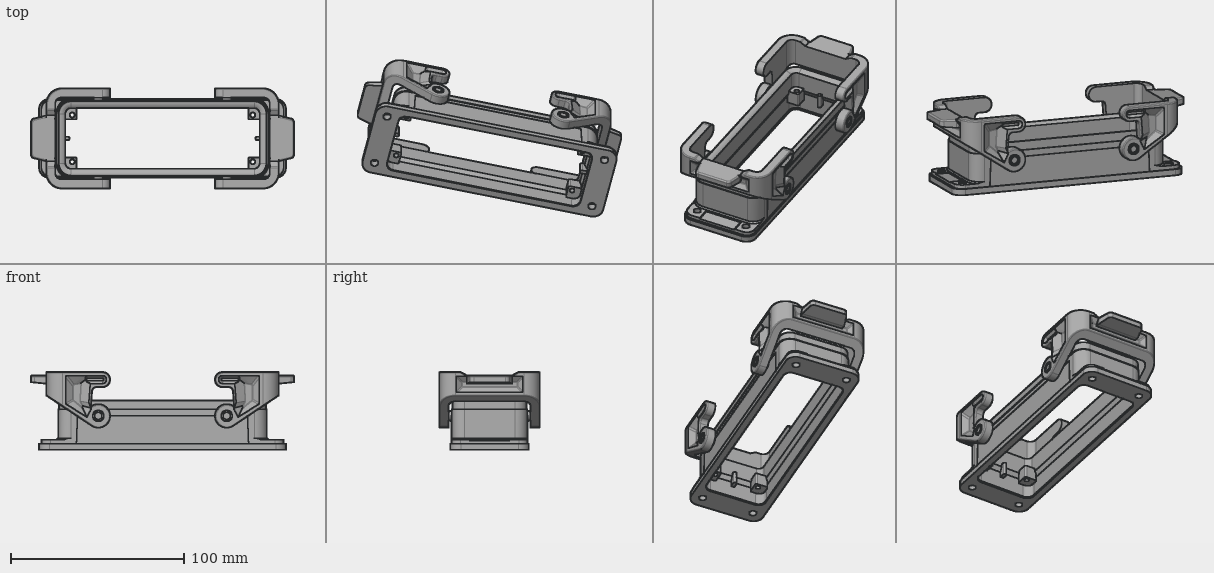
import cadquery as cq
import math

flange_length = 142.7
flange_width = 45.6
flange_height = 3.6
flange_corner = 6.1
pad_length = 139.8
pad_top = 6.0
pad_corner = 5.0
mount_hole_diameter = 4.3
mount_hole_x = 64.5
mount_hole_y = 16.0
recess_width = 22.8
recess_depth = 0.6
recess_gap = 1.5

body_length = 120.7
body_width = 43.8
body_corner = 7.3
base_bevel = 0.9
shoulder_height = 23.4
shoulder_step = 0.5
rim_height = 28.5
crown_width = 3.6
crown_drop = 1.5

panel_proud = 0.2
panel_bottom_length = 99.4
panel_top_length = 98.2
panel_depth = 1.5

opening_length = 112.2
opening_width = 35.0
opening_corner = 3.2
undercut = 1.2
undercut_bottom = 12.5
undercut_top = undercut_bottom + 3.0
lip_height = 1.0
lip_width = 0.3

boss_x = 52.1
boss_y = 13.5
boss_hole_diameter = 2.7
boss_reach = 2.6
boss_bottom = 9.1
boss_top = 17.2
boss_corner = 0.9
key_width = 2.1
key_reach = 2.5

lever_top = 45.0
lever_end_x = -67.2
lever_width = 58.0
lever_corner = 9.3
lever_edge = 0.6
end_wall = 5.2
arm_thickness = 5.5
end_wall_bottom = 31.5
pivot_x = -37.1
pivot_z = 19.6
eye_radius = 6.8
nose_radius = 4.4
nose_x = eye_radius + pivot_x - nose_radius
nose_z = lever_top - nose_radius
hook_top_x = -40.5
hook_bottom_x = -41.3
hook_fillet = 2.5

tab_top = 43.0
tab_tip_bottom = 39.0
tab_root_bottom = 38.2
tab_tip_x = -76.0
tab_tip_half_width = 11.1
tab_root_half_width = 13.2
tab_corner = 2.5
tab_edge = 0.9
notch_half_width = 16.5
notch_round = 1.5

end_pocket_depth = 2.5
end_pocket_bottom = 33.3
end_pocket_top = 42.4
end_pocket_half_width = 19.2
end_pocket_inset = 3.0
end_pocket_round = 0.9

arm_pocket_depth = 3.0
arm_pocket_round = 0.6
arm_pocket_corner = 1.8
nose_slot_depth = 1.8
nose_slot_radius = 2.3
nose_slot_taper = 40
nose_slot_start_x = -45.6

pin_groove_outer = 3.2
pin_groove_inner = 2.1
pin_groove_depth = 0.8
pin_root_radius = 3.5
pin_radius = 2.6

lever_side = lever_width / 2
arm_inner = lever_side - arm_thickness
body_side = body_width / 2


def rounded_block(length, width, corner, bottom, top):
    block = cq.Workplane("XY").box(length, width, top - bottom, centered=(True, True, False))
    return block.edges("|Z").fillet(corner).translate((0, 0, bottom))


def body_skirt():
    """Bevel between the pads and the housing wall, trimmed flush with the long sides."""
    skirt = rounded_block(
        body_length + 2 * base_bevel,
        body_width + 2 * base_bevel,
        body_corner + base_bevel,
        flange_height,
        pad_top + base_bevel,
    )
    skirt = skirt.faces(">Z").edges().chamfer(base_bevel)
    return skirt.intersect(cq.Workplane("XY").box(flange_length, body_width, 2 * rim_height))


def mounting_base():
    flange = rounded_block(flange_length, flange_width, flange_corner, 0, flange_height)
    pads = rounded_block(pad_length, body_width, pad_corner, flange_height, pad_top)
    body = rounded_block(body_length, body_width, body_corner, flange_height, shoulder_height)
    base = flange.union(pads).union(body).union(body_skirt())
    recess_start = body_length / 2 + recess_gap
    recess_length = (flange_length - body_length) / 2
    for side in (-1, 1):
        recess = cq.Workplane("XY").box(recess_length, recess_width, 2 * recess_depth)
        base = base.cut(recess.translate((side * (recess_start + recess_length / 2), 0, pad_top)))
    holes = (
        cq.Workplane("XY")
        .rect(2 * mount_hole_x, 2 * mount_hole_y, forConstruction=True)
        .vertices()
        .circle(mount_hole_diameter / 2)
        .extrude(pad_top)
    )
    return base.cut(holes)


def side_panels():
    outer = body_side + panel_proud
    panel = (
        cq.Workplane("XZ", origin=(0, -body_side + panel_depth, 0))
        .moveTo(-panel_bottom_length / 2, flange_height)
        .lineTo(panel_bottom_length / 2, flange_height)
        .lineTo(panel_top_length / 2, pivot_z)
        .lineTo(-panel_top_length / 2, pivot_z)
        .close()
        .extrude(outer - body_side + panel_depth)
    )
    return panel.union(panel.mirror("XZ"))


def rim():
    length = body_length - 2 * shoulder_step
    width = body_width - 2 * shoulder_step
    return rounded_block(length, width, body_corner - shoulder_step, shoulder_height, rim_height)


def chamber(widening, bottom):
    """Space below the opening, wider than it by the given amount on every side."""
    block = rounded_block(
        opening_length + 2 * widening,
        opening_width + 2 * widening,
        opening_corner + widening,
        bottom,
        undercut_top,
    )
    return block.faces(">Z").edges().chamfer(undercut_top - undercut_bottom, widening)


def opening():
    through = rounded_block(opening_length, opening_width, opening_corner, 0, rim_height)
    return through.union(chamber(undercut, 0)).union(chamber(undercut + lip_width, lip_height))


def rim_crown():
    """Material removed above the convex slope of the rim, swept around the opening."""
    crown_radius = (crown_width**2 + crown_drop**2) / (2 * crown_drop)
    half_angle = math.asin(crown_width / crown_radius) / 2
    edge_y = -opening_width / 2
    start_y = edge_y - crown_width
    middle = (
        start_y + crown_radius * math.sin(half_angle),
        rim_height - crown_radius * (1 - math.cos(half_angle)),
    )
    path = cq.Workplane("XY").rect(opening_length, opening_width).extrude(1.5)
    path = path.edges("|Z").fillet(opening_corner).faces("<Z").wires()
    return (
        cq.Workplane("YZ")
        .moveTo(start_y, rim_height)
        .threePointArc(middle, (edge_y, rim_height - crown_drop))
        .lineTo(edge_y, rim_height)
        .close()
        .sweep(path)
    )


def inner_bosses():
    bosses = cq.Workplane("XY")
    free_x = boss_x - boss_reach
    free_y = boss_y - boss_reach
    length = opening_length / 2 + undercut - free_x
    width = opening_width / 2 + undercut - free_y
    for x_side in (-1, 1):
        for y_side in (-1, 1):
            boss = cq.Workplane("XY").box(length, width, boss_top - boss_bottom, centered=(True, True, False))
            boss = boss.edges("|Z").fillet(boss_corner)
            centre = (x_side * (free_x + length / 2), y_side * (free_y + width / 2), boss_bottom)
            hole = cq.Workplane("XY").circle(boss_hole_diameter / 2).extrude(boss_top)
            bosses = bosses.union(boss.translate(centre).cut(hole.translate((x_side * boss_x, y_side * boss_y, 0))))
        key = (
            cq.Workplane("XY", origin=(x_side * opening_length / 2, 0, boss_bottom))
            .slot2D(2 * key_reach, key_width)
            .extrude(boss_top - boss_bottom)
        )
        bosses = bosses.union(key)
    return bosses


def lever_profile():
    """Side outline of a lever: hooked arm, pivot eye and sloping underside."""
    run = pivot_x - lever_end_x
    drop = end_wall_bottom - pivot_z
    tangent_angle = math.atan2(drop, -run) + math.acos(eye_radius / math.hypot(run, drop))
    tangent_x = pivot_x + eye_radius * math.cos(tangent_angle)
    tangent_z = pivot_z + eye_radius * math.sin(tangent_angle)
    hook_rise = math.sqrt(eye_radius**2 - (hook_bottom_x - pivot_x) ** 2)
    return (
        cq.Workplane("XZ", origin=(0, lever_side, 0))
        .moveTo(lever_end_x, end_wall_bottom)
        .lineTo(lever_end_x, lever_top)
        .lineTo(nose_x, lever_top)
        .threePointArc((nose_x + nose_radius, nose_z), (nose_x, nose_z - nose_radius))
        .lineTo(hook_top_x, nose_z - nose_radius)
        .lineTo(hook_bottom_x, pivot_z + hook_rise)
        .threePointArc((pivot_x + eye_radius, pivot_z), (tangent_x, tangent_z))
        .close()
        .extrude(lever_width)
    )


def lever_shell():
    reach = pivot_x + eye_radius - lever_end_x
    outer = cq.Workplane("XY").box(2 * reach, lever_width, lever_top, centered=(True, True, False))
    outer = outer.edges("|Z").fillet(lever_corner)
    inner = cq.Workplane("XY").box(2 * (reach - end_wall), 2 * arm_inner, lever_top, centered=(True, True, False))
    inner = inner.edges("|Z").fillet(lever_corner - arm_thickness)
    shell = outer.cut(inner).translate((lever_end_x + reach, 0, 0)).intersect(lever_profile())
    hook_corner = cq.selectors.BoxSelector(
        (hook_top_x - 0.3, -lever_width, nose_z - nose_radius - 0.3),
        (hook_top_x + 0.3, lever_width, nose_z - nose_radius + 0.3),
    )
    shell = shell.edges("|Y").edges(hook_corner).fillet(hook_fillet)
    notch = (
        cq.Workplane("YZ", origin=(lever_end_x, 0, 0))
        .moveTo(-notch_half_width, lever_top)
        .lineTo(notch_half_width, lever_top)
        .lineTo(tab_root_half_width, tab_top)
        .lineTo(-tab_root_half_width, tab_top)
        .close()
        .extrude(end_wall)
    )
    notch_corners = cq.selectors.BoxSelector(
        (lever_end_x - 0.2, -notch_half_width - 0.2, lever_top - 0.2),
        (lever_end_x + end_wall + 0.2, notch_half_width + 0.2, lever_top + 0.2),
    )
    shell = shell.cut(notch).edges("|X").edges(notch_corners).fillet(notch_round)
    return shell.faces("<Y or >Y").edges("not |Z").fillet(lever_edge)


def finger_tab():
    tab = (
        cq.Workplane("XY", origin=(0, 0, tab_root_bottom))
        .moveTo(lever_end_x + end_wall, -tab_root_half_width)
        .lineTo(lever_end_x, -tab_root_half_width)
        .lineTo(tab_tip_x, -tab_tip_half_width)
        .lineTo(tab_tip_x, tab_tip_half_width)
        .lineTo(lever_end_x, tab_root_half_width)
        .lineTo(lever_end_x + end_wall, tab_root_half_width)
        .close()
        .extrude(tab_top - tab_root_bottom)
    )
    tab = tab.edges("|Z and <X").fillet(tab_corner)
    tab = tab.faces(">Z").edges("not >X").fillet(tab_edge)
    underside = (
        cq.Workplane("XZ", origin=(0, tab_root_half_width, 0))
        .moveTo(lever_end_x, tab_root_bottom)
        .lineTo(tab_tip_x, tab_tip_bottom)
        .lineTo(tab_tip_x, tab_root_bottom)
        .close()
        .extrude(2 * tab_root_half_width)
    )
    return tab.cut(underside)


def end_pocket():
    height = end_pocket_top - end_pocket_bottom
    middle = (end_pocket_top + end_pocket_bottom) / 2
    pocket = (
        cq.Workplane("YZ", origin=(lever_end_x, 0, middle))
        .rect(2 * end_pocket_half_width, height)
        .workplane(offset=end_pocket_depth)
        .rect(2 * (end_pocket_half_width - end_pocket_inset), height - 2 * end_pocket_inset)
        .loft(ruled=True)
    )
    return pocket.edges("not <X").fillet(end_pocket_round)


def arm_pocket():
    """Recess in the arm on the -Y side: a sloping main pocket and a shallow slot in the nose."""
    mouth = [(-56.0, 42.9), (-41.3, 42.9), (-42.5, 27.4), (-41.0, 24.0), (-43.6, 18.8), (-56.0, 26.6)]
    floor = [(-51.8, 37.7), (-47.1, 38.6), (-47.7, 28.3), (-46.4, 25.5), (-46.0, 24.0), (-51.8, 28.9)]
    main = (
        cq.Workplane("XZ", origin=(0, -lever_side, 0))
        .polyline(mouth)
        .close()
        .workplane(offset=-arm_pocket_depth)
        .polyline(floor)
        .close()
        .loft(ruled=True)
    )
    left_corners = cq.selectors.BoxSelector((mouth[0][0], -lever_width, 0), (floor[0][0] - 0.2, 0, lever_top))
    main = main.edges("not <Y").edges(left_corners).fillet(arm_pocket_corner)
    main = main.faces(">Y").edges().fillet(arm_pocket_round)
    slot_length = nose_x + nose_slot_radius - nose_slot_start_x
    slot_middle = nose_slot_start_x + slot_length / 2
    slot = (
        cq.Workplane("XZ", origin=(slot_middle, -lever_side, nose_z))
        .slot2D(slot_length, 2 * nose_slot_radius)
        .extrude(-nose_slot_depth, taper=nose_slot_taper)
    )
    return main.union(slot)


def pin_groove():
    return (
        cq.Workplane("XZ", origin=(pivot_x, -lever_side + pin_groove_depth, pivot_z))
        .circle(pin_groove_outer)
        .circle(pin_groove_inner)
        .extrude(pin_groove_depth)
    )


def pivot_pin():
    """Tapered bearing between the housing wall and the arm on the -Y side."""
    wall = body_side - 2 * shoulder_step
    return (
        cq.Workplane("XZ", origin=(pivot_x, -wall, pivot_z))
        .circle(pin_root_radius)
        .workplane(offset=arm_inner - wall)
        .circle(pin_radius)
        .loft()
    )


def lever():
    arm_cuts = arm_pocket().union(pin_groove())
    pin = pivot_pin()
    shell = lever_shell().cut(end_pocket()).cut(arm_cuts).cut(arm_cuts.mirror("XZ"))
    return shell.union(finger_tab()).union(pin).union(pin.mirror("XZ"))


housing = mounting_base().union(side_panels()).union(rim()).cut(opening()).cut(rim_crown())
housing = housing.union(inner_bosses())

left_lever = lever()
result = housing.union(left_lever).union(left_lever.mirror("YZ"))